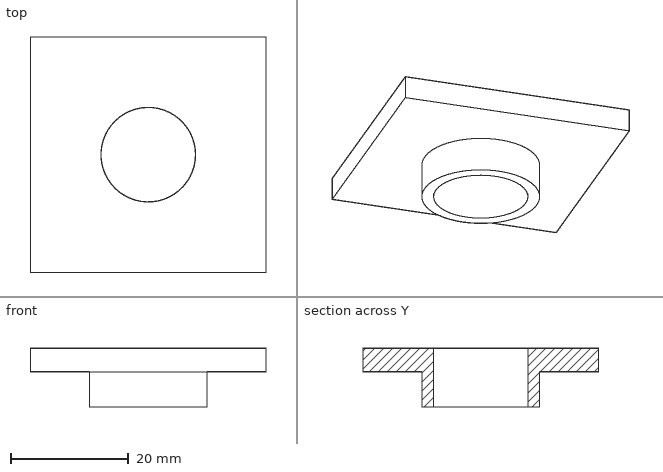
import cadquery as cq

plate_side = 40
plate_thickness = 4
collar_diameter = 20
collar_height = 6
bore_diameter = 16

total_height = plate_thickness + collar_height

plate = (
    cq.Workplane("XY")
    .workplane(offset=collar_height)
    .rect(plate_side, plate_side)
    .extrude(plate_thickness)
)

collar = cq.Workplane("XY").circle(collar_diameter / 2).extrude(collar_height)

bore = cq.Workplane("XY").circle(bore_diameter / 2).extrude(total_height)

result = plate.union(collar).cut(bore)